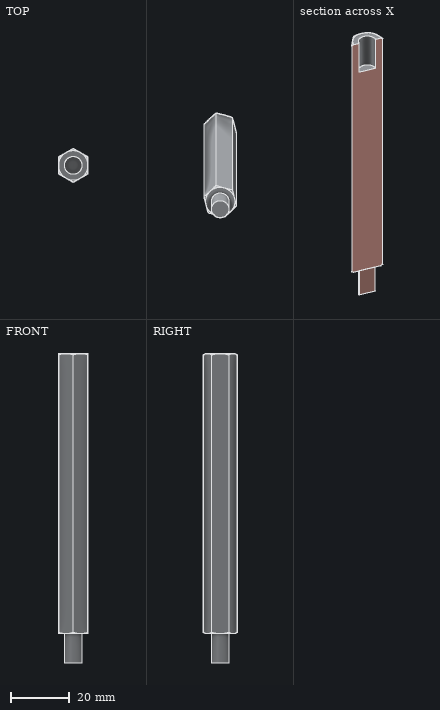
import cadquery as cq
import math

width_across_flats = 10.0
body_length = 95.0
thread_diameter = 6.0
stud_length = 10.0
socket_depth = 2 * thread_diameter
chamfer_angle = 30.0

width_across_corners = width_across_flats / math.cos(math.radians(30))
corner_radius = width_across_corners / 2
face_radius = width_across_flats / 2
chamfer_height = (corner_radius - face_radius) * math.tan(math.radians(chamfer_angle))


def make_chamfer_envelope():
    """Round bar with coned ends that trims the corners of the hexagon."""
    return (
        cq.Workplane("XY")
        .circle(corner_radius)
        .extrude(body_length)
        .faces("<Z or >Z")
        .chamfer(chamfer_height, corner_radius - face_radius)
    )


def make_spacer():
    """Hexagonal spacer with corners on the Y axis and a blind socket in the top."""
    hexagon = (
        cq.Workplane("XY")
        .transformed(rotate=(0, 0, 90))
        .polygon(6, width_across_corners)
        .extrude(body_length)
    )
    socket = (
        cq.Workplane("XY", origin=(0, 0, body_length))
        .circle(thread_diameter / 2)
        .extrude(-socket_depth)
    )
    return hexagon.intersect(make_chamfer_envelope()).cut(socket)


def make_stud():
    """Plain stud that meets the bottom face of the spacer and points down."""
    return cq.Workplane("XY").circle(thread_diameter / 2).extrude(-stud_length)


spacer = make_spacer()
stud = make_stud()

result = cq.Compound.makeCompound([spacer.val(), stud.val()])